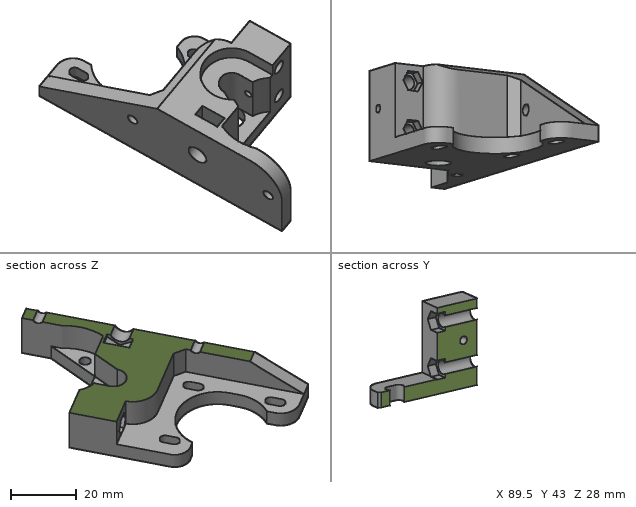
import cadquery as cq

length = 89.5
depth = 43.0
height = 28.0

wall_thickness = 4.8
base_thickness = 5.0
wall_corner_radius = 12.0
ramp_end_x = 43.5
wall_hole_diameter = 3.5
wall_hole_z = 15.0
wall_hole_left_x = 34.5
wall_hole_spacing = 49.9

motor_x = 20.4
motor_y = 23.5
motor_bore_radius = 13.0
motor_screw_spacing = 25.95
motor_slot_width = 3.3
motor_travel = 3.0
flange_step_x = 26.4
flange_step_y = 15.6
flange_front_radius = 6.0
flange_back_radius = 5.0

block_left_x = 40.45
block_right_x = 63.5
block_shoulder_y = 33.0
block_shoulder_radius = 8.0
root_chamfer = 2.95
clamp_left_x = 48.3

shaft_x = 54.95
shaft_y = motor_y
shaft_bore_radius = 3.9
bearing_radius = 9.6
bearing_depth = 5.0
idler_x = 69.3
idler_radius = 10.1

lug_tip_x = 80.1
hinge_x = 68.3
hinge_y = 8.6
hinge_hole_diameter = 3.5

hollow_x = 71.2
hollow_front_y = 3.9
hollow_radius = 17.0
corner_fill = 3.1

filament_x = 58.35
filament_z = 15.5
filament_diameter = 2.4
inlet_diameter = 6.5
nut_width = 8.1
nut_thickness = 3.85

clamp_screw_y = depth - 6.35
clamp_screw_heights = (7.9, 23.0)
clamp_hole_diameter = 4.5
clamp_nut_width = 6.0
clamp_nut_depth = 3.0


def prism(points, bottom, top):
    """Upright prism over a closed outline in X and Y."""
    return cq.Workplane("XY").workplane(offset=bottom).polyline(points).close().extrude(top - bottom)


def upright_cylinder(x, y, radius, bottom, top):
    return cq.Workplane("XY").workplane(offset=bottom).center(x, y).circle(radius).extrude(top - bottom)


def box(x0, x1, y0, y1, z0, z1):
    return cq.Workplane("XY").box(x1 - x0, y1 - y0, z1 - z0, centered=False).translate((x0, y0, z0))


def cylinder_along_y(x, z, diameter, y_end):
    """Cylinder from the front face back to y_end."""
    return cq.Workplane("XZ").center(x, z).circle(diameter / 2).extrude(-y_end)


def side_profile():
    """Ramped and rounded wall outline, swept over the full depth."""
    return (
        cq.Workplane("XZ")
        .moveTo(0, 0)
        .lineTo(length, 0)
        .lineTo(length, height - wall_corner_radius)
        .radiusArc((length - wall_corner_radius, height), -wall_corner_radius)
        .lineTo(ramp_end_x, height)
        .lineTo(0, base_thickness)
        .close()
        .extrude(-depth)
    )


def motor_flange():
    front_arm = box(0, block_right_x, 0, flange_step_y, 0, base_thickness)
    front_arm = front_arm.edges("|Z and <X and >Y").fillet(flange_front_radius)
    back_arm = box(flange_step_x, block_right_x, 0, depth, 0, base_thickness)
    back_arm = back_arm.edges("|Z and <X and >Y").fillet(flange_back_radius)
    return front_arm.union(back_arm)


def motor_cutouts():
    bore_length = 2 * motor_bore_radius + motor_travel
    bore = cq.Workplane("XY").center(motor_x, motor_y).slot2D(bore_length, 2 * motor_bore_radius)
    slots = (
        cq.Workplane("XY")
        .center(motor_x, motor_y)
        .rect(motor_screw_spacing, motor_screw_spacing, forConstruction=True)
        .vertices()
        .slot2D(motor_slot_width + motor_travel, motor_slot_width)
    )
    return bore.extrude(base_thickness).union(slots.extrude(base_thickness))


def drive_block():
    body = box(block_left_x, block_right_x, 0, block_shoulder_y, 0, height)
    body = body.edges("|Z and <X and >Y").fillet(block_shoulder_radius)
    root = prism(
        [
            (block_left_x, wall_thickness),
            (block_left_x, wall_thickness + root_chamfer),
            (block_left_x - root_chamfer, wall_thickness),
        ],
        0,
        height,
    )
    clamp = box(clamp_left_x, block_right_x, 0, depth, 0, height)
    return body.union(clamp).union(root)


def hinge_lug():
    lug_start = (shaft_x, shaft_y - shaft_bore_radius)
    return prism([(shaft_x, 0), (lug_tip_x, 0), (lug_tip_x, wall_thickness), lug_start], 0, base_thickness)


def corner_web():
    """Full-height web in the corner between block and wall, later trimmed by the hollow."""
    end_y = wall_thickness + corner_fill
    return box(block_right_x, block_right_x + corner_fill, 0, end_y, 0, height)


def arm_hollow():
    """Arched clearance beyond the block, down to the top of the hinge lug."""
    centre_y = hollow_front_y + hollow_radius
    arch = upright_cylinder(hollow_x, centre_y, hollow_radius, base_thickness, height)
    return arch.intersect(box(block_right_x, length, 0, depth, base_thickness, height))


def bearing_pocket():
    bottom = height - bearing_depth
    pocket = upright_cylinder(shaft_x, shaft_y, bearing_radius, bottom, height)
    mouth = box(shaft_x, block_right_x, shaft_y, shaft_y + bearing_radius, bottom, height)
    return pocket.union(mouth)


def idler_opening():
    """Opening beside the shaft; its front side is in line with the edge of the lug."""
    channel = prism(
        [
            (shaft_x, shaft_y - shaft_bore_radius),
            (lug_tip_x, wall_thickness),
            (lug_tip_x, shaft_y + shaft_bore_radius),
            (shaft_x, shaft_y + shaft_bore_radius),
        ],
        base_thickness,
        height,
    )
    return channel.union(upright_cylinder(idler_x, shaft_y, idler_radius, base_thickness, height))


def filament_path():
    inlet = cylinder_along_y(filament_x, filament_z, inlet_diameter, wall_thickness)
    bore = cylinder_along_y(filament_x, filament_z, filament_diameter, depth)
    half_width = nut_width / 2
    corner_rise = nut_width / (2 * 3**0.5)
    trap = (
        cq.Workplane("XZ", origin=(filament_x, wall_thickness, filament_z))
        .moveTo(0, -2 * corner_rise)
        .lineTo(half_width, -corner_rise)
        .lineTo(half_width, height)
        .lineTo(-half_width, height)
        .lineTo(-half_width, -corner_rise)
        .close()
        .extrude(-nut_thickness)
    )
    return inlet.union(bore).union(trap)


def clamp_screw(z):
    start = cq.Workplane("YZ", origin=(clamp_left_x, clamp_screw_y, z))
    hole = start.circle(clamp_hole_diameter / 2).extrude(block_right_x - clamp_left_x)
    nut = start.polygon(6, clamp_nut_width * 2 / 3**0.5).extrude(clamp_nut_depth)
    return hole.union(nut)


wall = box(0, length, 0, wall_thickness, 0, height)
result = wall.union(drive_block()).union(corner_web()).intersect(side_profile())
result = result.cut(arm_hollow()).cut(bearing_pocket()).cut(idler_opening())
result = result.union(motor_flange()).union(hinge_lug())
result = result.cut(motor_cutouts()).cut(filament_path())
result = result.cut(upright_cylinder(shaft_x, shaft_y, shaft_bore_radius, 0, height))
result = result.cut(upright_cylinder(hinge_x, hinge_y, hinge_hole_diameter / 2, 0, base_thickness))
for hole_x in (wall_hole_left_x, wall_hole_left_x + wall_hole_spacing):
    result = result.cut(cylinder_along_y(hole_x, wall_hole_z, wall_hole_diameter, wall_thickness))
for screw_z in clamp_screw_heights:
    result = result.cut(clamp_screw(screw_z))